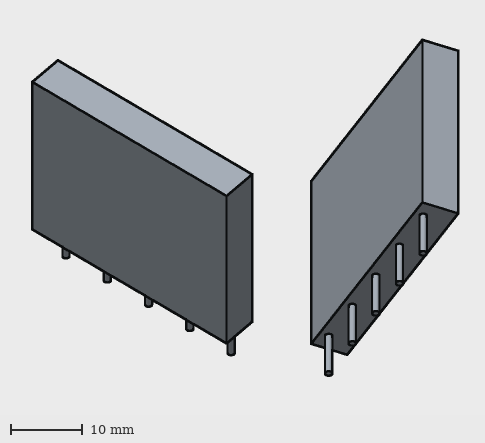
import cadquery as cq

total_height = 35.7

housing_length = 35.3
housing_depth = 5.6

pin_count = 5
pin_diameter = 1.05
pin_pitch = 7.5
pin_length = 6.68
pin_to_back_face = 1.43

housing_height = total_height - pin_length
pin_row_y = housing_depth / 2 - pin_to_back_face


def make_housing():
    """Block with its underside at Z = 0, centred in X and Y."""
    return cq.Workplane("XY").box(
        housing_length, housing_depth, housing_height, centered=(True, True, False)
    )


def make_pin(x):
    """Round pin hanging from the underside of the housing."""
    return cq.Workplane("XY").center(x, pin_row_y).circle(pin_diameter / 2).extrude(-pin_length)


housing = make_housing()

first_pin_x = -pin_pitch * (pin_count - 1) / 2
pins = [make_pin(first_pin_x + index * pin_pitch) for index in range(pin_count)]

result = cq.Compound.makeCompound([housing.val(), *[pin.val() for pin in pins]])